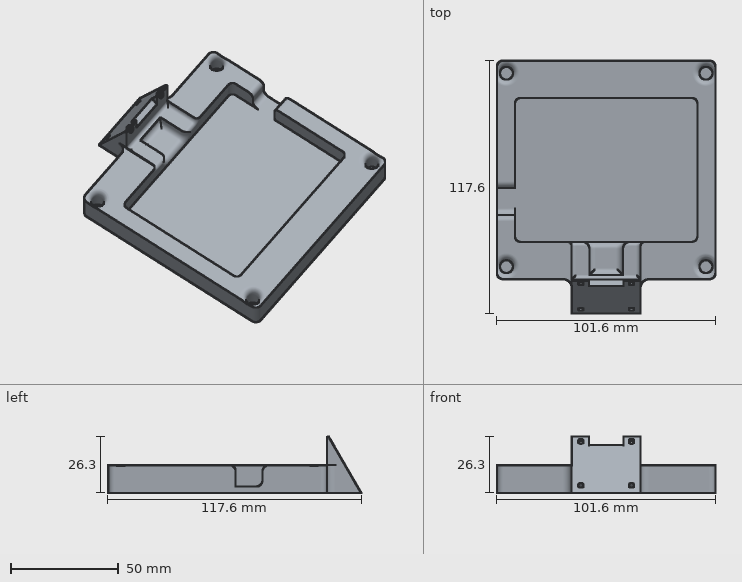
import cadquery as cq
import math

plate_side = 101.6
plate_height = 12.9
plate_corner_radius = 2.9
plate_front = -plate_side / 2

pocket_width = 84.7
pocket_length = 66.8
pocket_corner_radius = 2.5
floor_height = 3.0
pocket_front = -pocket_length / 2
notch_width = 12.5
notch_center_y = -14.7
notch_radius = 2.9

corner_hole_diameter = 6.0
corner_hole_x = 46.3
corner_hole_y = 44.9
corner_mouth_radius = 3.0

overall_length = 117.6
wedge_width = 32.0
wedge_height = 26.3
wedge_tilt = 30.0
wedge_reach = overall_length - plate_side
wedge_blend_radius = 4.0
wedge_top_thickness = wedge_reach - wedge_height * math.tan(math.radians(wedge_tilt))
top_notch_width = 15.9
top_notch_depth = 4.0

screw_hole_diameter = 2.5
screw_hole_depth = 6.0
screw_hole_x = 11.8
screw_hole_distances = (4.1, 27.8)

step_depth = 2.0
step_radius = 2.0
channel_width = 15.6
channel_depth = 4.5
channel_radius = 3.0
channel_front = plate_front + step_radius
step_mouth_radius = 2.0
channel_mouth_radius = 3.2


def make_plate():
    plate = cq.Workplane("XY").rect(plate_side, plate_side).extrude(plate_height)
    return plate.edges("|Z").fillet(plate_corner_radius)


def make_wedge():
    profile = [
        (pocket_front, 0),
        (plate_front - wedge_reach, 0),
        (plate_front - wedge_top_thickness, wedge_height),
        (plate_front, wedge_height - wedge_top_thickness * math.tan(math.radians(wedge_tilt))),
        (plate_front, plate_height),
        (pocket_front, plate_height),
    ]
    return cq.Workplane("YZ").polyline(profile).close().extrude(wedge_width / 2, both=True)


def add_wedge_blends(body):
    """Round the two inside corners between the plate and the wedge sides."""
    for side in (-1, 1):
        corner = cq.Vector(side * wedge_width / 2, plate_front, plate_height / 2)
        body = body.edges(cq.selectors.NearestToPointSelector(corner)).fillet(wedge_blend_radius)
    return body


def make_pocket():
    pocket = (
        cq.Workplane("XY", origin=(0, 0, floor_height))
        .rect(pocket_width, pocket_length)
        .extrude(plate_height)
    )
    return pocket.edges("|Z").fillet(pocket_corner_radius)


def make_notch():
    """Slot with rounded upper edges and one rounded lower corner."""
    back = notch_center_y + notch_width / 2
    front = notch_center_y - notch_width / 2
    diagonal = notch_radius * math.sqrt(0.5)
    shoulder = plate_height - notch_radius
    front_mouth = front - notch_radius
    back_mouth = back + notch_radius
    outline = (
        cq.Workplane("YZ", origin=(-plate_side / 2, 0, 0))
        .moveTo(back_mouth, plate_height)
        .threePointArc((back_mouth - diagonal, shoulder + diagonal), (back, shoulder))
        .lineTo(back, floor_height)
        .lineTo(front + notch_radius, floor_height)
        .threePointArc(
            (front + notch_radius - diagonal, floor_height + notch_radius - diagonal),
            (front, floor_height + notch_radius),
        )
        .lineTo(front, shoulder)
        .threePointArc((front_mouth + diagonal, shoulder + diagonal), (front_mouth, plate_height))
        .close()
    )
    return outline.extrude((plate_side - pocket_width) / 2 + pocket_corner_radius)


def make_corner_hole():
    """Blind hole whose mouth flares out in a convex round."""
    hole_radius = corner_hole_diameter / 2
    flare_radius = hole_radius + corner_mouth_radius
    shoulder = plate_height - corner_mouth_radius
    diagonal = corner_mouth_radius * math.sqrt(0.5)
    return (
        cq.Workplane("XZ")
        .moveTo(0, floor_height)
        .lineTo(hole_radius, floor_height)
        .lineTo(hole_radius, shoulder)
        .threePointArc((flare_radius - diagonal, shoulder + diagonal), (flare_radius, plate_height))
        .lineTo(0, plate_height)
        .close()
        .revolve(360, (0, 0, 0), (0, 1, 0))
    )


def make_trough(width, front, bottom, foot_radius, mouth_radius):
    """Open-topped cutter with a rounded foot, flaring smoothly where it opens into the pocket."""
    length = pocket_front + pocket_corner_radius - front
    trough = cq.Workplane("XY").box(width, length, wedge_height, centered=(True, False, False))
    trough = trough.edges("<Z").edges("|Y or <Y").fillet(foot_radius).translate((0, front, bottom))
    height = bottom + wedge_height - floor_height
    pocket_side = (
        cq.Workplane("XY", origin=(0, pocket_front, floor_height))
        .box(pocket_width / 2, pocket_corner_radius, height, centered=(True, False, False))
    )
    cutter = trough.union(pocket_side)
    margin = 0.06
    mouth = cq.selectors.BoxSelector(
        (-width / 2 - margin, pocket_front - margin, bottom - margin),
        (width / 2 + margin, pocket_front + margin, bottom + wedge_height + margin),
        boundingbox=True,
    )
    return cutter.edges(mouth).fillet(mouth_radius)


def make_top_notch():
    """Gap in the top of the wedge, with its floor square to the sloping face."""
    slope = math.tan(math.radians(wedge_tilt))
    edge_z = wedge_height - top_notch_depth
    edge_y = plate_front - wedge_top_thickness - top_notch_depth * slope
    profile = [
        (edge_y, edge_z),
        (plate_front, edge_z - (plate_front - edge_y) * slope),
        (plate_front, wedge_height),
        (edge_y, wedge_height),
    ]
    return cq.Workplane("YZ").polyline(profile).close().extrude(top_notch_width / 2, both=True)


def make_screw_holes():
    tilt = math.radians(wedge_tilt)
    inward = cq.Vector(0, math.cos(tilt), -math.sin(tilt))
    holes = cq.Workplane("XY")
    for distance in screw_hole_distances:
        for x in (-screw_hole_x, screw_hole_x):
            center = cq.Vector(
                x,
                plate_front - wedge_reach + distance * math.sin(tilt),
                distance * math.cos(tilt),
            )
            holes = holes.add(
                cq.Solid.makeCylinder(screw_hole_diameter / 2, screw_hole_depth, center, inward)
            )
    return holes.combine()


step_bottom = plate_height - step_depth
channel_bottom = step_bottom - channel_depth

body = add_wedge_blends(make_plate().union(make_wedge()))
body = body.cut(make_pocket())
body = body.cut(make_trough(wedge_width, plate_front, step_bottom, step_radius, step_mouth_radius))
body = body.cut(
    make_trough(channel_width, channel_front, channel_bottom, channel_radius, channel_mouth_radius)
)
body = body.cut(make_notch())

for x in (-corner_hole_x, corner_hole_x):
    for y in (-corner_hole_y, corner_hole_y):
        body = body.cut(make_corner_hole().translate((x, y, 0)))

result = body.cut(make_top_notch()).cut(make_screw_holes())